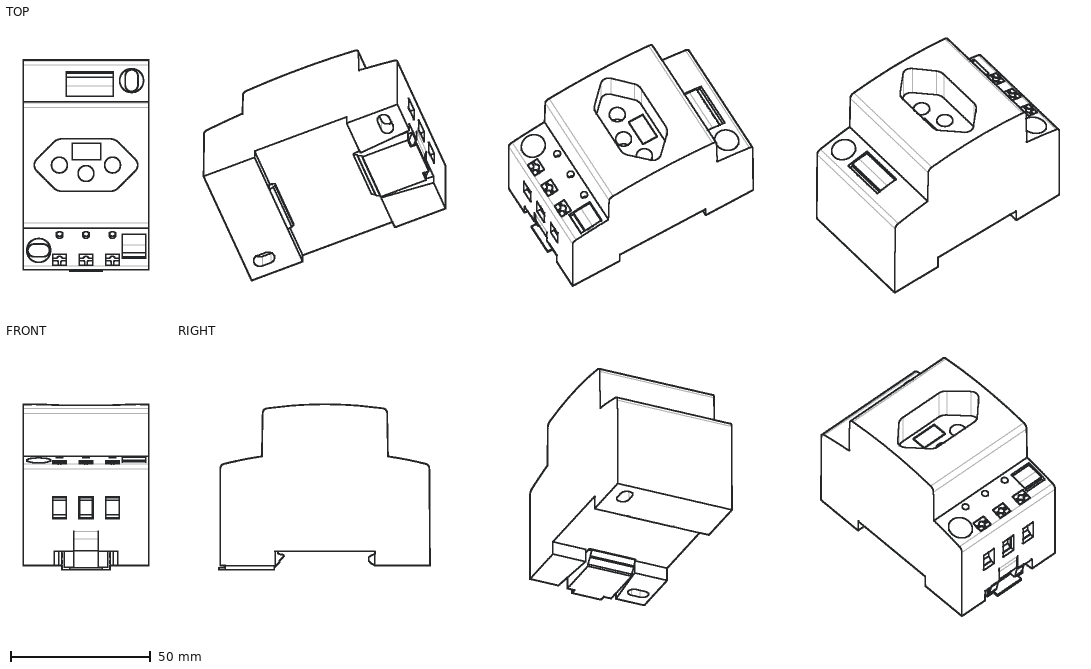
import cadquery as cq
import math

WIDTH = 45.0
FRONT_Y = -37.45
BACK_FOOT_Y = 37.6
BACK_TOP_Y = 37.4
TOP_Z = 57.7
CROWN_RADIUS = 150.95
SHOULDER_CROWN_Z = 40.75
TOWER_HALF_LENGTH = 22.3
TOWER_FOOT_HALF_LENGTH = 22.6
EDGE_RADIUS = 1.9
CUT_MARGIN = 1.5

CHANNEL_HALF_LENGTH = 17.8
CHANNEL_HEIGHT = 5.05

GUIDE_FRONT_HALF_WIDTH = 11.3
GUIDE_REAR_HALF_WIDTH = 9.65
CLIP_WIDTH = 17.2
NUB_WIDTH = CLIP_WIDTH
CLIP_FRONT_Y = -35.6
CLIP_BOTTOM_Z = -1.5
HOOK_OUTLINE = [
    (-16.75, CHANNEL_HEIGHT),
    (-16.75, 4.4),
    (-16.15, 4.1),
    (-15.0, 3.9),
    (-14.6, 3.4),
    (-16.15, 1.7),
    (-16.15, 1.2),
    (-18.05, -0.7),
    (-18.05, CLIP_BOTTOM_Z),
]
NUB_OUTLINE = [
    (CHANNEL_HALF_LENGTH, 4.1),
    (16.8, 3.85),
    (15.6, 3.0),
    (15.6, 1.7),
    (16.3, 0.9),
    (CHANNEL_HALF_LENGTH, 0),
]
PAD_WIDTH = 15.7
PAD_TOP_Y = -37.05
PAD_BOTTOM_Y = -35.85
PAD_BOTTOM_Z = -0.5
LIP_WIDTH = 11.5
LIP_TIP_Y = -37.9
LIP_TOP_Z = -0.75
TOOL_SLOT_WIDTH = 8.9
TOOL_SLOT_TOP_Z = 12.2
TOOL_SLOT_KNEE_Z = 9.6
TOOL_SLOT_STEP_Z = 5.3
TOOL_SLOT_SHALLOW_Y = -36.8
TOOL_SLOT_DEEP_Y = -34.7
TOOL_SLOT_FLOOR_Y = -33.6

SOCKET_HALF_WIDTH = 9.35
SOCKET_FLOOR_Z = 44.5
SOCKET_SHARP_HALF_LENGTH = 19.7
SOCKET_TIP_RADIUS = 2.95
SOCKET_SIDE_RADIUS = 4.0
PIN_DIAMETER = 5.65
PIN_PITCH = 19.0
EARTH_OFFSET = 3.0
PIN_DEPTH = 9.8
BADGE_CENTER = (0.15, 4.9)
BADGE_SIZE = (10.1, 5.9)
BADGE_DEPTH = 0.4

FIXINGS = ((-16.9, -30.5, 0), (16.3, 30.2, 90))
FIXING_BORE_DIAMETER = 8.5
FIXING_FLOOR_Z = 7.55
FIXING_SLOT_LENGTH = 7.7
FIXING_SLOT_WIDTH = 4.45

TERMINAL_PITCH = 9.4
TERMINAL_XS = (-TERMINAL_PITCH, 0, TERMINAL_PITCH)
MIDDLE_WINDOW_WIDTH = 5.1
MIDDLE_FUNNEL_WIDTH = 4.6
OUTER_WINDOW_WIDTH = 4.9
WINDOW_BOTTOM_Z = 16.75
WINDOW_TOP_Z = 24.7
WINDOW_DEPTH = 1.5
FUNNEL_MOUTH_Z = (17.05, 24.15)
FUNNEL_END_Z = (18.1, 23.4)
FUNNEL_DEPTH = 1.4
TEST_HOLE_Y = -25.0
TEST_HOLE_DIAMETER = 2.4
TEST_HOLE_DEPTH = 4.5

SYMBOL_WIDTH = 4.9
SYMBOL_BACK_Y = -31.8
SYMBOL_FRONT_Y = -35.8
SYMBOL_DEPTH = 0.15
SYMBOL_GROOVE_DEPTH = 0.45
SYMBOL_BAR_TOP_Y = -33.35
SYMBOL_BAR_BOTTOM_Y = -34.1
SYMBOL_STEM_WIDTH = 0.9
SYMBOL_ARC_WIDTH = 2.0
SYMBOL_ARC_RISE = 0.75
SYMBOL_STEM_RADIUS = 0.6

LABEL_INNER_Y = 24.7
LABEL_RIDGE_Y = 28.4
LABEL_WELL_Y = 31.4
LABEL_LIP_Y = 32.8
LABEL_OUTER_Y = 33.3
LABEL_INNER_DEPTH = 1.1
LABEL_RIDGE_DEPTH = 0.75
LABEL_WELL_DEPTH = 2.0
FRONT_LABEL_X = (12.9, 21.35)
BACK_LABEL_X = (-7.0, 9.7)


def crown_z(y, apex_z):
    """Height of a crowned surface whose apex lies on the middle plane."""
    return apex_z - CROWN_RADIUS + math.sqrt(CROWN_RADIUS ** 2 - y ** 2)


def shoulder_z(y):
    return crown_z(y, SHOULDER_CROWN_Z)


def box(x_range, y_range, z_range):
    size = [high - low for low, high in (x_range, y_range, z_range)]
    corner = (x_range[0], y_range[0], z_range[0])
    return cq.Workplane("XY").box(*size, centered=False).translate(corner)


def side_prism(points, width, center_x=0):
    """Prism along X from an outline of (y, z) points."""
    prism = cq.Workplane("YZ").polyline(points).close().extrude(width / 2, both=True)
    return prism.translate((center_x, 0, 0))


def crowned_block(foot_z, apex_z, foot_ys, top_ys):
    """Full-width block with drafted end walls and a crowned top with rounded ends."""
    front_y, back_y = top_ys
    block = (
        cq.Workplane("YZ")
        .moveTo(foot_ys[0], foot_z)
        .lineTo(front_y, crown_z(front_y, apex_z))
        .threePointArc((0, apex_z), (back_y, crown_z(back_y, apex_z)))
        .lineTo(foot_ys[1], foot_z)
        .close()
        .extrude(WIDTH / 2, both=True)
    )
    top_ends = cq.selectors.BoxSelector(
        (-WIDTH, 2 * FRONT_Y, crown_z(BACK_FOOT_Y, apex_z) - CUT_MARGIN),
        (WIDTH, 2 * BACK_FOOT_Y, apex_z + CUT_MARGIN),
    )
    return block.edges("|X").edges(top_ends).fillet(EDGE_RADIUS)


def housing():
    base = crowned_block(0, SHOULDER_CROWN_Z, (FRONT_Y, BACK_FOOT_Y), (FRONT_Y, BACK_TOP_Y))
    tower = crowned_block(
        shoulder_z(TOWER_FOOT_HALF_LENGTH),
        TOP_Z,
        (-TOWER_FOOT_HALF_LENGTH, TOWER_FOOT_HALF_LENGTH),
        (-TOWER_HALF_LENGTH, TOWER_HALF_LENGTH),
    )
    channel = box(
        (-WIDTH, WIDTH),
        (-CHANNEL_HALF_LENGTH, CHANNEL_HALF_LENGTH),
        (-CUT_MARGIN, CHANNEL_HEIGHT),
    )
    return base.union(tower).cut(channel)


def clip_guide():
    """Tapered guide from the front face back to the rail channel."""
    return (
        cq.Workplane("XY")
        .polyline([
            (-GUIDE_FRONT_HALF_WIDTH, FRONT_Y),
            (GUIDE_FRONT_HALF_WIDTH, FRONT_Y),
            (GUIDE_REAR_HALF_WIDTH, -CHANNEL_HALF_LENGTH),
            (-GUIDE_REAR_HALF_WIDTH, -CHANNEL_HALF_LENGTH),
        ])
        .close()
        .extrude(CHANNEL_HEIGHT)
    )


def rail_nub():
    """Fixed nub on the rear wall of the rail channel."""
    return side_prism(NUB_OUTLINE, NUB_WIDTH)


def rail_clip():
    """Sliding clip with a rail hook at the rear, a sloped pad and a pull lip at the front."""
    frame = side_prism(
        [
            (CLIP_FRONT_Y, CLIP_BOTTOM_Z),
            (CLIP_FRONT_Y, CHANNEL_HEIGHT),
            *HOOK_OUTLINE,
        ],
        CLIP_WIDTH,
    )
    pad = side_prism(
        [
            (CLIP_FRONT_Y, CHANNEL_HEIGHT),
            (PAD_TOP_Y, CHANNEL_HEIGHT),
            (PAD_BOTTOM_Y, PAD_BOTTOM_Z),
            (CLIP_FRONT_Y, PAD_BOTTOM_Z),
        ],
        PAD_WIDTH,
    )
    lip = box(
        (-LIP_WIDTH / 2, LIP_WIDTH / 2), (LIP_TIP_Y, CLIP_FRONT_Y), (CLIP_BOTTOM_Z, LIP_TOP_Z)
    )
    return frame.union(pad).union(lip)


def tool_slot():
    """Screwdriver slot down the front face, stepping deeper behind the clip pad."""
    outer_y = FRONT_Y - CUT_MARGIN
    return side_prism(
        [
            (outer_y, TOOL_SLOT_TOP_Z),
            (FRONT_Y, TOOL_SLOT_TOP_Z),
            (TOOL_SLOT_SHALLOW_Y, TOOL_SLOT_KNEE_Z),
            (TOOL_SLOT_SHALLOW_Y, TOOL_SLOT_STEP_Z),
            (TOOL_SLOT_DEEP_Y, TOOL_SLOT_STEP_Z),
            (TOOL_SLOT_FLOOR_Y, LIP_TOP_Z),
            (outer_y, LIP_TOP_Z),
        ],
        TOOL_SLOT_WIDTH,
    )


def socket():
    """Elongated hexagonal recess with three pin holes and a sunk badge in its floor."""
    tip_x = SOCKET_SHARP_HALF_LENGTH
    side_x = tip_x - SOCKET_HALF_WIDTH
    recess = (
        cq.Workplane("XY", origin=(0, 0, SOCKET_FLOOR_Z))
        .polyline([
            (tip_x, 0),
            (side_x, SOCKET_HALF_WIDTH),
            (-side_x, SOCKET_HALF_WIDTH),
            (-tip_x, 0),
            (-side_x, -SOCKET_HALF_WIDTH),
            (side_x, -SOCKET_HALF_WIDTH),
        ])
        .close()
        .extrude(TOP_Z + CUT_MARGIN - SOCKET_FLOOR_Z)
    )
    recess = recess.edges("|Z and (<X or >X)").fillet(SOCKET_TIP_RADIUS)
    recess = recess.edges("|Z and (<Y or >Y)").fillet(SOCKET_SIDE_RADIUS)
    floor = cq.Workplane("XY", origin=(0, 0, SOCKET_FLOOR_Z))
    pins = (
        floor.pushPoints([(-PIN_PITCH / 2, 0), (PIN_PITCH / 2, 0), (0, -EARTH_OFFSET)])
        .circle(PIN_DIAMETER / 2)
        .extrude(-PIN_DEPTH)
    )
    badge = floor.center(*BADGE_CENTER).rect(*BADGE_SIZE).extrude(-BADGE_DEPTH)
    return recess.union(pins).union(badge)


def fixing_hole(x, y, angle):
    """Deep screw-head bore with a slotted hole through the foot."""
    bore = (
        cq.Workplane("XY", origin=(x, y, FIXING_FLOOR_Z))
        .circle(FIXING_BORE_DIAMETER / 2)
        .extrude(SHOULDER_CROWN_Z - FIXING_FLOOR_Z)
    )
    slot = (
        cq.Workplane("XY", origin=(x, y, -CUT_MARGIN))
        .slot2D(FIXING_SLOT_LENGTH, FIXING_SLOT_WIDTH, angle)
        .extrude(FIXING_FLOOR_Z + 2 * CUT_MARGIN)
    )
    return bore.union(slot)


def terminal_window(x):
    """Wire entry in the front face: a rectangular mouth narrowing into a funnel."""
    middle = x == 0
    mouth_width = MIDDLE_WINDOW_WIDTH if middle else OUTER_WINDOW_WIDTH
    funnel_width = MIDDLE_FUNNEL_WIDTH if middle else OUTER_WINDOW_WIDTH
    funnel_y = FRONT_Y + WINDOW_DEPTH
    end_y = funnel_y + FUNNEL_DEPTH
    mouth = box(
        (x - mouth_width / 2, x + mouth_width / 2),
        (FRONT_Y - CUT_MARGIN, funnel_y),
        (WINDOW_BOTTOM_Z, WINDOW_TOP_Z),
    )
    funnel = side_prism(
        [
            (funnel_y, FUNNEL_MOUTH_Z[0]),
            (end_y, FUNNEL_END_Z[0]),
            (end_y, FUNNEL_END_Z[1]),
            (funnel_y, FUNNEL_MOUTH_Z[1]),
        ],
        funnel_width,
        x,
    )
    return mouth.union(funnel)


def test_hole(x):
    """Round blind hole square to the front shoulder."""
    tilt = math.asin(TEST_HOLE_Y / CROWN_RADIUS)
    normal = (0, math.sin(tilt), math.cos(tilt))
    surface = cq.Plane(
        origin=(x, TEST_HOLE_Y, shoulder_z(TEST_HOLE_Y)), xDir=(1, 0, 0), normal=normal
    )
    drill = cq.Workplane(surface).workplane(offset=CUT_MARGIN).circle(TEST_HOLE_DIAMETER / 2)
    return drill.extrude(-(TEST_HOLE_DEPTH + CUT_MARGIN))


def above_shoulder(depth):
    """Everything down to the given depth below the shoulder surface."""
    crown = (
        cq.Workplane("YZ")
        .center(0, SHOULDER_CROWN_Z - CROWN_RADIUS)
        .circle(CROWN_RADIUS - depth)
        .extrude(WIDTH, both=True)
    )
    region = box(
        (-WIDTH, WIDTH), (2 * FRONT_Y, 2 * BACK_FOOT_Y), (shoulder_z(BACK_FOOT_Y) - CUT_MARGIN, TOP_Z)
    )
    return region.cut(crown)


def clamp_symbols():
    """Sunk panels, each with a deeper T-shaped groove that has a domed head."""
    base_z = shoulder_z(BACK_FOOT_Y)
    height = SHOULDER_CROWN_Z - base_z
    centers = [(x, (SYMBOL_BACK_Y + SYMBOL_FRONT_Y) / 2) for x in TERMINAL_XS]
    panels = (
        cq.Workplane("XY", origin=(0, 0, base_z))
        .pushPoints(centers)
        .rect(SYMBOL_WIDTH, SYMBOL_BACK_Y - SYMBOL_FRONT_Y)
        .extrude(height)
    )
    symbols = panels.intersect(above_shoulder(SYMBOL_DEPTH))

    half_width = SYMBOL_WIDTH / 2
    half_arc = SYMBOL_ARC_WIDTH / 2
    half_stem = SYMBOL_STEM_WIDTH / 2
    flare = SYMBOL_STEM_RADIUS
    bend = flare * (1 - math.sqrt(0.5))
    stem_top_y = SYMBOL_BAR_BOTTOM_Y - flare
    groove = (
        cq.Workplane("XY", origin=(0, 0, base_z))
        .moveTo(-half_width, SYMBOL_BAR_TOP_Y)
        .lineTo(-half_arc, SYMBOL_BAR_TOP_Y)
        .threePointArc((0, SYMBOL_BAR_TOP_Y + SYMBOL_ARC_RISE), (half_arc, SYMBOL_BAR_TOP_Y))
        .lineTo(half_width, SYMBOL_BAR_TOP_Y)
        .lineTo(half_width, SYMBOL_BAR_BOTTOM_Y)
        .lineTo(half_stem + flare, SYMBOL_BAR_BOTTOM_Y)
        .threePointArc((half_stem + bend, SYMBOL_BAR_BOTTOM_Y - bend), (half_stem, stem_top_y))
        .lineTo(half_stem, SYMBOL_FRONT_Y)
        .lineTo(-half_stem, SYMBOL_FRONT_Y)
        .lineTo(-half_stem, stem_top_y)
        .threePointArc(
            (-half_stem - bend, SYMBOL_BAR_BOTTOM_Y - bend),
            (-half_stem - flare, SYMBOL_BAR_BOTTOM_Y),
        )
        .lineTo(-half_width, SYMBOL_BAR_BOTTOM_Y)
        .close()
        .extrude(height)
        .intersect(above_shoulder(SYMBOL_GROOVE_DEPTH))
    )
    for x in TERMINAL_XS:
        symbols = symbols.union(groove.translate((x, 0, 0)))
    return symbols


def label_pocket(x_range, side):
    """Label holder in a shoulder; side is -1 for the front one and 1 for the back one."""
    ridge_z = shoulder_z(LABEL_RIDGE_Y) - LABEL_RIDGE_DEPTH
    crest_z = shoulder_z(LABEL_WELL_Y) - LABEL_RIDGE_DEPTH
    well_z = shoulder_z(LABEL_WELL_Y) - LABEL_WELL_DEPTH
    outline = [
        (LABEL_INNER_Y, SHOULDER_CROWN_Z),
        (LABEL_INNER_Y, shoulder_z(LABEL_INNER_Y) - LABEL_INNER_DEPTH),
        (LABEL_RIDGE_Y, ridge_z),
        (LABEL_WELL_Y, crest_z),
        (LABEL_WELL_Y, well_z),
        (LABEL_LIP_Y, well_z),
        (LABEL_OUTER_Y, shoulder_z(LABEL_OUTER_Y)),
        (LABEL_OUTER_Y, SHOULDER_CROWN_Z),
    ]
    outline = [(side * y, z) for y, z in outline]
    return side_prism(outline, x_range[1] - x_range[0], sum(x_range) / 2)


result = housing().cut(clip_guide()).union(rail_nub()).union(rail_clip())
result = result.cut(tool_slot()).cut(socket())
for fixing in FIXINGS:
    result = result.cut(fixing_hole(*fixing))
for terminal_x in TERMINAL_XS:
    result = result.cut(terminal_window(terminal_x)).cut(test_hole(terminal_x))
result = result.cut(clamp_symbols())
result = result.cut(label_pocket(FRONT_LABEL_X, -1)).cut(label_pocket(BACK_LABEL_X, 1))